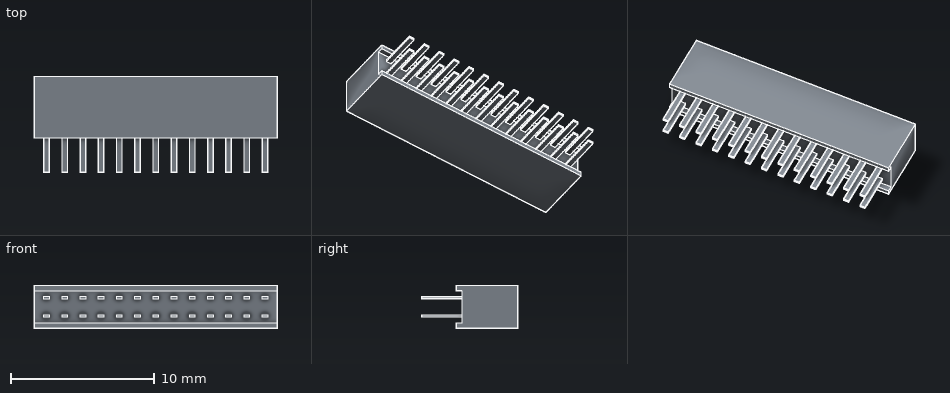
import cadquery as cq

body_length = 16.97
body_depth = 4.3
body_height = 3.0
lip_depth = 0.4
lip_thickness = 0.385

pin_pitch = 1.27
pins_per_row = 13
row_count = 2
row_spacing = 1.27
pin_width = 0.4
pin_thickness = 0.15
pin_reach = 2.4

channel_floor_y = lip_depth
pin_tip_y = -pin_reach

channel_height = body_height - 2 * lip_thickness


def make_body():
    """Housing block with a channel along its pin side, leaving a lip above and below."""
    block = cq.Workplane("XY").box(body_length, body_depth, body_height, centered=(True, False, True))
    channel = cq.Workplane("XY").box(body_length, lip_depth, channel_height, centered=(True, False, True))
    return block.cut(channel)


def make_pins():
    """Two rows of flat pins reaching from the channel floor to the tips."""
    pin_length = channel_floor_y - pin_tip_y
    return (
        cq.Workplane("XZ", origin=(0, channel_floor_y, 0))
        .rarray(pin_pitch, row_spacing, pins_per_row, row_count)
        .rect(pin_width, pin_thickness)
        .extrude(pin_length)
    )


result = make_body().union(make_pins())